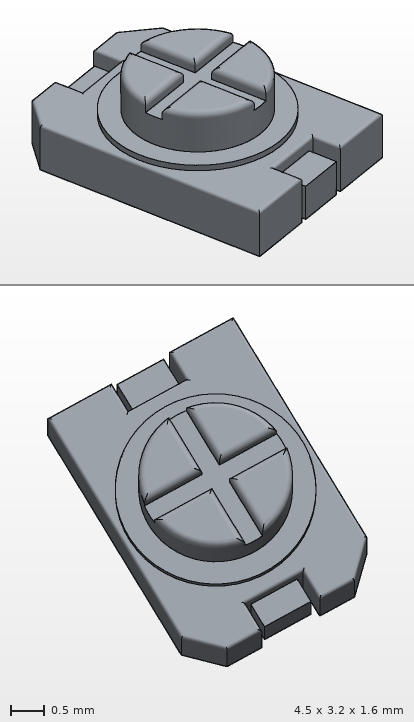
import cadquery as cq

length = 4.5
width = 3.2
body_height = 0.8
corner_cut = 0.5
body_edge_radius = 0.05

notch_depth = 0.5
notch_width = 1.0
terminal_width = 0.8
terminal_height = 0.6
left_terminal_setback = 0.09

total_height = 1.6
disc_diameter = 3.0
disc_thickness = 0.1
knob_diameter = 2.3
slot_width = 0.3
slot_depth = 0.2
knob_edge_radius = 0.1


def make_body():
    body = cq.Workplane("XY").box(length, width, body_height, centered=(True, True, False))
    body = body.edges("|Z and <X").chamfer(corner_cut)
    for side in (-1, 1):
        notch = (
            cq.Workplane("XY")
            .center(side * length / 2, 0)
            .rect(2 * notch_depth, notch_width)
            .extrude(body_height)
        )
        body = body.cut(notch)
    return body.faces(">Z").edges().fillet(body_edge_radius)


def make_terminal(side, setback):
    """Block from the notch floor towards the end face, stopping short by setback."""
    terminal_length = notch_depth - setback
    center_x = side * (length / 2 - setback - terminal_length / 2)
    return (
        cq.Workplane("XY")
        .center(center_x, 0)
        .rect(terminal_length, terminal_width)
        .extrude(terminal_height)
    )


def make_knob():
    knob = (
        cq.Workplane("XY")
        .workplane(offset=body_height)
        .circle(knob_diameter / 2)
        .extrude(total_height - body_height)
    )
    slots = cq.Workplane("XY").workplane(offset=total_height - slot_depth)
    for size in ((knob_diameter, slot_width), (slot_width, knob_diameter)):
        knob = knob.cut(slots.rect(*size).extrude(slot_depth))
    return knob.faces(">Z").edges().fillet(knob_edge_radius)


disc = (
    cq.Workplane("XY")
    .workplane(offset=body_height)
    .circle(disc_diameter / 2)
    .extrude(disc_thickness)
)

result = (
    make_body()
    .union(make_terminal(-1, left_terminal_setback))
    .union(make_terminal(1, 0))
    .union(disc)
    .union(make_knob())
)